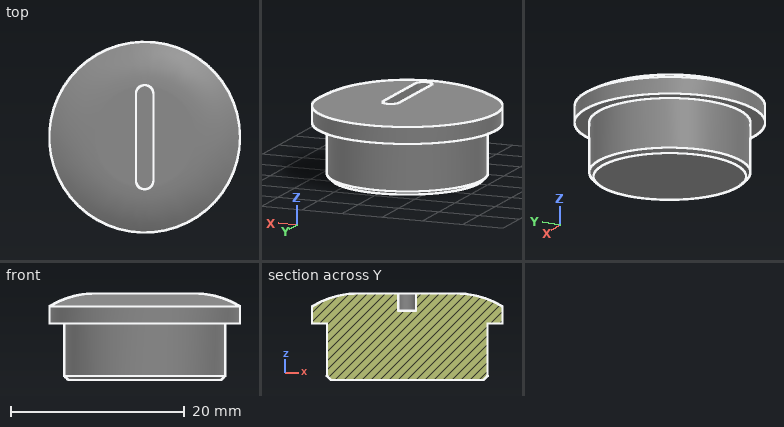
import cadquery as cq
import math

head_diameter = 22.0
body_diameter = 18.6
body_height = 6.5
rim_height = 2.0
dome_height = 1.5
dome_edge_radius = 10.0
bottom_chamfer = 0.5
slot_length = 12.0
slot_width = 2.0
slot_depth = 2.0

head_radius = head_diameter / 2
body_radius = body_diameter / 2
rim_top = body_height + rim_height
total_height = rim_top + dome_height


def dome_setback(drop):
    """Horizontal run of the dome arc, level at the flat top, after falling by drop."""
    return math.sqrt(dome_edge_radius**2 - (dome_edge_radius - drop) ** 2)


flat_radius = head_radius - dome_setback(dome_height)


def make_plug():
    """Revolve the half section: chamfered body, cylindrical rim and domed head."""
    mid_drop = dome_height / 2
    dome_middle = (flat_radius + dome_setback(mid_drop), total_height - mid_drop)
    return (
        cq.Workplane("XZ")
        .moveTo(0, 0)
        .lineTo(body_radius - bottom_chamfer, 0)
        .lineTo(body_radius, bottom_chamfer)
        .lineTo(body_radius, body_height)
        .lineTo(head_radius, body_height)
        .lineTo(head_radius, rim_top)
        .threePointArc(dome_middle, (flat_radius, total_height))
        .lineTo(0, total_height)
        .close()
        .revolve(360, (0, 0, 0), (0, 1, 0))
    )


def make_driver_slot():
    """Round-ended slot along Y, sunk from the flat top."""
    return (
        cq.Workplane("XY")
        .workplane(offset=total_height - slot_depth)
        .slot2D(slot_length, slot_width, 90)
        .extrude(slot_depth)
    )


result = make_plug().cut(make_driver_slot())